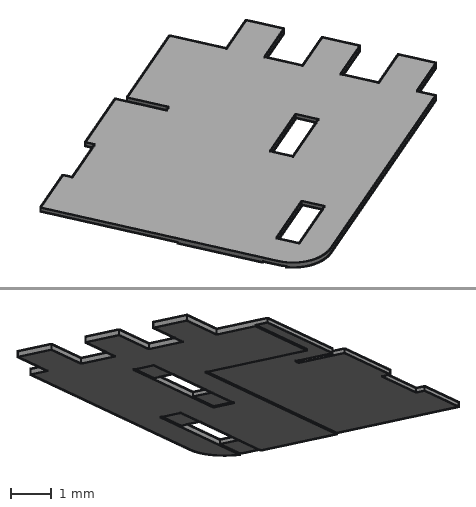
import cadquery as cq

thickness = 0.15
plate_width = 7.25
body_length = 8.0
corner_radius = 1.0

tab_count = 3
tab_width = 1.0
tab_length = 1.3
tab_pitch = 2 * tab_width
first_tab_x = 1.75

edge_step = 0.25
notch_bottom = 1.5
notch_length = 1.5
slit_bottom = 5.0
slit_width = 0.15
slit_end_x = 1.35

window_width = 0.6
window_length = 1.7
window_corners = [(4.35, 4.3), (5.85, 0.9)]

recess_depth = 0.03
groove_overrun = 0.9
edge_strip_width = 0.6
corner_recess_width = 3.6
corner_recess_length = slit_bottom + slit_width + edge_strip_width


def block(x, y, width, length, height=thickness):
    """Block standing on the underside plane, with its lower-left corner at (x, y)."""
    return cq.Workplane("XY").box(width, length, height, centered=False).translate((x, y, 0))


def make_body():
    """Rectangular plate with its lower-right corner rounded."""
    return block(0, 0, plate_width, body_length).edges("|Z and >X and <Y").fillet(corner_radius)


def add_tabs(plate):
    for index in range(tab_count):
        tab_x = first_tab_x + index * tab_pitch
        plate = plate.union(block(tab_x, body_length, tab_width, tab_length))
    return plate


def cut_left_edge(plate):
    notch = block(0, notch_bottom, edge_step, notch_length)
    slit = block(0, slit_bottom, slit_end_x, slit_width)
    step = block(0, slit_bottom, edge_step, body_length - slit_bottom)
    return plate.cut(notch).cut(slit).cut(step)


def cut_windows(plate):
    for x, y in window_corners:
        plate = plate.cut(block(x, y, window_width, window_length))
    return plate


def cut_underside_recesses(plate):
    """Thin the left edge, the corner area around the slit and a groove along each window."""
    edge_strip = block(0, 0, edge_strip_width, body_length, recess_depth)
    corner_recess = block(0, 0, corner_recess_width, corner_recess_length, recess_depth)
    plate = plate.cut(edge_strip).cut(corner_recess)
    groove_length = window_length + 2 * groove_overrun
    for x, y in window_corners:
        plate = plate.cut(block(x, y - groove_overrun, window_width, groove_length, recess_depth))
    return plate


plate = add_tabs(make_body())
plate = cut_left_edge(plate)
plate = cut_windows(plate)
result = cut_underside_recesses(plate)